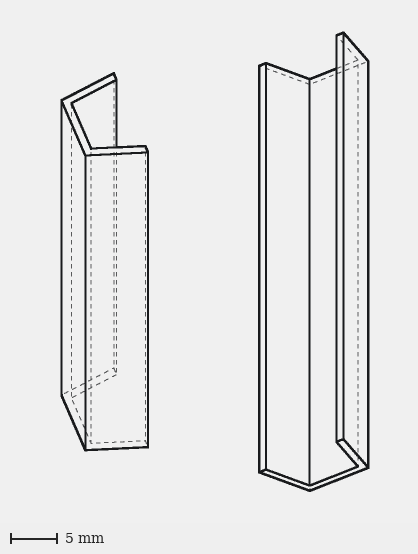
import cadquery as cq

length = 50.0
mouth_width = 11.5
base_width = 8.0
depth = 6.5

floor_thickness = 0.9
side_wall_width = 0.95

flare = (mouth_width - base_width) / 2 / depth

mouth_y = depth / 2
base_y = -depth / 2
floor_y = base_y + floor_thickness
inner_mouth_half = mouth_width / 2 - side_wall_width
inner_floor_half = base_width / 2 + flare * floor_thickness - side_wall_width

section = [
    (-mouth_width / 2, mouth_y),
    (-base_width / 2, base_y),
    (base_width / 2, base_y),
    (mouth_width / 2, mouth_y),
    (inner_mouth_half, mouth_y),
    (inner_floor_half, floor_y),
    (-inner_floor_half, floor_y),
    (-inner_mouth_half, mouth_y),
]

result = cq.Workplane("XY").polyline(section).close().extrude(length)